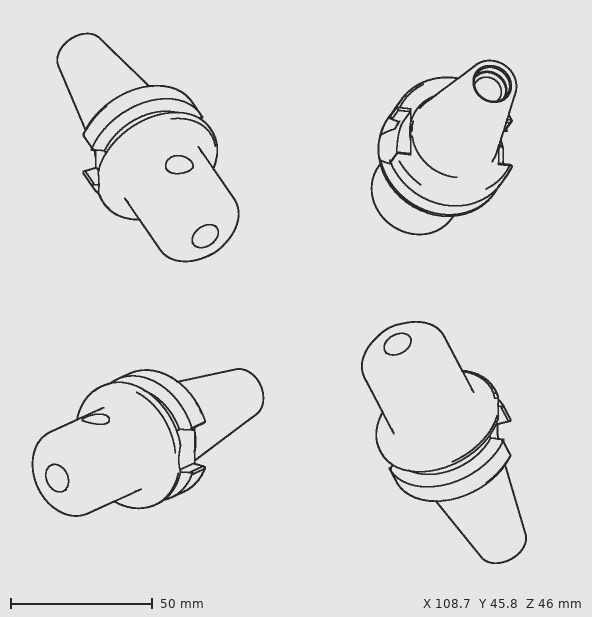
import cadquery as cq
import math

TOTAL_LENGTH = 108.7

TAPER_LENGTH = 48.5
TAPER_RATIO = 7 / 24
BODY_DIAMETER = 31.8
SHANK_END_FILLET = 0.8
SHANK_ROOT_FILLET = 0.7

FLANGE_DIAMETER = 46.0
FLANGE_FRONT = 49.8
FLANGE_BACK = 68.6
FLANGE_EDGE_FILLET = 1.0
FLANGE_BACK_FILLET = 2.8
GROOVE_DIAMETER = 38.3
GROOVE_FLOOR_START = 60.5
GROOVE_FLOOR_END = 64.2
GROOVE_FLANK_ANGLE = 30.0

SLOT_WIDTH = 16.1
SLOT_FLOOR = 16.1
SLOT_ARC_CENTER = 60.0
SLOT_CHAMFER = 0.8

NOSE_CHAMFER = 6.2
NOSE_FILLET = 1.6

THROUGH_DIAMETER = 10.1
MOUTH_DIAMETER = 14.0
MOUTH_ROUND = 0.8
MOUTH_CONE_LENGTH = 0.4
PILOT_DIAMETER = 13.0
PILOT_DEPTH = 5.0
STEP_DIAMETER = 12.5
STEP_DEPTH = 6.7
STEP_FLOOR_FILLET = 0.4
SCREW_HOLE_DIAMETER = 9.7
SCREW_HOLE_X = 86.3

body_radius = BODY_DIAMETER / 2
flange_radius = FLANGE_DIAMETER / 2
groove_radius = GROOVE_DIAMETER / 2
small_end_radius = body_radius - TAPER_LENGTH * TAPER_RATIO / 2
flank_run = (flange_radius - groove_radius) * math.tan(math.radians(GROOVE_FLANK_ANGLE))
rim_start = GROOVE_FLOOR_START - flank_run
half_slot = SLOT_WIDTH / 2


def fillet_circle(solid, x, radius, fillet):
    """Fillet the circular edge at station x whose radius is given."""
    tolerance = 0.01

    def is_wanted(edge):
        if edge.geomType() != "CIRCLE":
            return False
        return abs(edge.Center().x - x) < tolerance and abs(edge.radius() - radius) < tolerance

    return solid.edges().filter(is_wanted).fillet(fillet)


def turned_body():
    outline = cq.Workplane("XY").polyline([
        (0, 0),
        (0, small_end_radius),
        (TAPER_LENGTH, body_radius),
        (FLANGE_FRONT, body_radius),
        (FLANGE_FRONT, flange_radius),
        (rim_start, flange_radius),
        (GROOVE_FLOOR_START, groove_radius),
        (GROOVE_FLOOR_END, groove_radius),
        (GROOVE_FLOOR_END + flank_run, flange_radius),
        (FLANGE_BACK, flange_radius),
        (FLANGE_BACK, body_radius),
        (TOTAL_LENGTH - NOSE_CHAMFER, body_radius),
        (TOTAL_LENGTH, body_radius - NOSE_CHAMFER),
        (TOTAL_LENGTH, 0),
    ])
    body = outline.close().revolve(360, (0, 0, 0), (1, 0, 0))
    for x, radius, fillet in (
        (0, small_end_radius, SHANK_END_FILLET),
        (FLANGE_FRONT, body_radius, SHANK_ROOT_FILLET),
        (FLANGE_FRONT, flange_radius, FLANGE_EDGE_FILLET),
        (FLANGE_BACK, flange_radius, FLANGE_EDGE_FILLET),
        (FLANGE_BACK, body_radius, FLANGE_BACK_FILLET),
        (TOTAL_LENGTH - NOSE_CHAMFER, body_radius, NOSE_FILLET),
        (TOTAL_LENGTH, body_radius - NOSE_CHAMFER, NOSE_FILLET),
    ):
        body = fillet_circle(body, x, radius, fillet)
    return body


def drive_slot():
    """Cutter for the slot on the -Y side, with chamfered front and rim edges."""
    flared_half = half_slot + SLOT_CHAMFER
    slot = (
        cq.Workplane("XZ", origin=(0, -SLOT_FLOOR, 0))
        .moveTo(FLANGE_FRONT, -flared_half)
        .lineTo(FLANGE_FRONT + SLOT_CHAMFER, -half_slot)
        .lineTo(SLOT_ARC_CENTER, -half_slot)
        .threePointArc((SLOT_ARC_CENTER + half_slot, 0), (SLOT_ARC_CENTER, half_slot))
        .lineTo(FLANGE_FRONT + SLOT_CHAMFER, half_slot)
        .lineTo(FLANGE_FRONT, flared_half)
        .close()
        .extrude(flange_radius - SLOT_FLOOR)
    )
    rim_y = math.sqrt(flange_radius**2 - flared_half**2)
    rim_chamfer = (
        cq.Workplane("YZ", origin=(FLANGE_FRONT, 0, 0))
        .polyline([
            (-rim_y + SLOT_CHAMFER, -half_slot),
            (-rim_y + SLOT_CHAMFER, half_slot),
            (-rim_y, flared_half),
            (-flange_radius, flared_half),
            (-flange_radius, -flared_half),
            (-rim_y, -flared_half),
        ])
        .close()
        .extrude(rim_start - FLANGE_FRONT)
    )
    return slot.union(rim_chamfer)


def axial_bore():
    """Stepped bore: rounded and coned pilot at the shank end, then a hole right through."""
    mouth_radius = MOUTH_DIAMETER / 2
    pilot_radius = PILOT_DIAMETER / 2
    step_radius = STEP_DIAMETER / 2
    through_radius = THROUGH_DIAMETER / 2
    step_cone_length = pilot_radius - step_radius
    diagonal = math.sqrt(0.5)
    mouth_middle = (
        MOUTH_ROUND * (1 - diagonal),
        mouth_radius + MOUTH_ROUND * (1 - diagonal),
    )
    floor_middle = (
        STEP_DEPTH - STEP_FLOOR_FILLET * (1 - diagonal),
        step_radius - STEP_FLOOR_FILLET * (1 - diagonal),
    )
    return (
        cq.Workplane("XY")
        .lineTo(0, mouth_radius + MOUTH_ROUND)
        .threePointArc(mouth_middle, (MOUTH_ROUND, mouth_radius))
        .lineTo(MOUTH_ROUND + MOUTH_CONE_LENGTH, pilot_radius)
        .lineTo(PILOT_DEPTH, pilot_radius)
        .lineTo(PILOT_DEPTH + step_cone_length, step_radius)
        .lineTo(STEP_DEPTH - STEP_FLOOR_FILLET, step_radius)
        .threePointArc(floor_middle, (STEP_DEPTH, step_radius - STEP_FLOOR_FILLET))
        .lineTo(STEP_DEPTH, through_radius)
        .lineTo(TOTAL_LENGTH, through_radius)
        .lineTo(TOTAL_LENGTH, 0)
        .close()
        .revolve(360, (0, 0, 0), (1, 0, 0))
    )


def screw_hole():
    """Radial hole from the top of the nose into the bore."""
    hole = cq.Workplane("XY").center(SCREW_HOLE_X, 0).circle(SCREW_HOLE_DIAMETER / 2)
    return hole.extrude(body_radius)


front_slot = drive_slot()
back_slot = front_slot.mirror("XZ")
result = turned_body().cut(front_slot).cut(back_slot).cut(axial_bore()).cut(screw_hole())